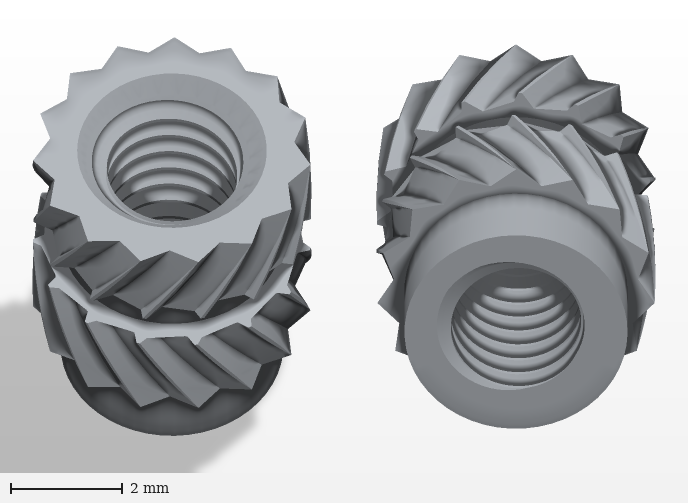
import cadquery as cq
import math

total_height = 6.0
body_radius = 2.0
knurl_radius = 2.5

lower_band_bottom = 1.5
lower_band_height = 1.96
upper_band_height = 1.75

tooth_count = 15
groove_root_radius = 2.2
groove_lead = 22.8
groove_rise = 1.93
groove_mouth_depth = 0.4

thread_pitch = 0.5
thread_minor_radius = 1.17
thread_major_radius = 1.5
thread_root_flat = 0.04
thread_half_angle = 30.0
thread_start_angle = 75.0
thread_overlap = 0.03

countersink_radius = 1.7
countersink_depth = countersink_radius - thread_minor_radius


def groove_profile():
    """V section on the XY plane, pointing at the axis, widened radially beyond the tooth tips."""
    half_pitch = math.pi / tooth_count
    tip_x = knurl_radius * math.cos(half_pitch)
    tip_y = knurl_radius * math.sin(half_pitch)
    mouth_x = tip_x + groove_mouth_depth
    mouth_y = mouth_x * math.tan(half_pitch)
    return cq.Workplane("XY").polyline([
        (groove_root_radius, 0),
        (tip_x, tip_y),
        (mouth_x, mouth_y),
        (mouth_x, -mouth_y),
        (tip_x, -tip_y),
    ]).close()


def knurled_band():
    """Ring on the XY plane with left-handed helical V grooves, full depth at z = 0.

    The groove section keeps a minimum-twist orientation along its path, so it rolls
    relative to the radius as it climbs and leaves narrow lands on the tooth tips.
    """
    path = cq.Wire.makeHelix(groove_lead, groove_rise, groove_root_radius, lefthand=True)
    groove = groove_profile().sweep(cq.Workplane(obj=path), isFrenet=False)
    band = cq.Workplane("XY").circle(knurl_radius).circle(body_radius).extrude(lower_band_height)
    tooth_pitch = 360 / tooth_count
    first_groove_angle = 90 + tooth_pitch / 2
    for i in range(tooth_count):
        angle = first_groove_angle + i * tooth_pitch
        band = band.cut(groove.rotate((0, 0, 0), (0, 0, 1), angle))
    return band


def thread_groove():
    """Right-handed V thread groove that runs out past both ends of the bore."""
    inner_radius = thread_minor_radius - thread_overlap
    flank_rise = (thread_major_radius - inner_radius) * math.tan(math.radians(thread_half_angle))
    root_half = thread_root_flat / 2
    mouth_half = root_half + flank_rise
    path = cq.Wire.makeHelix(thread_pitch, total_height + 2 * thread_pitch, thread_minor_radius)
    groove = (
        cq.Workplane("XZ")
        .polyline([
            (inner_radius, -mouth_half),
            (thread_major_radius, -root_half),
            (thread_major_radius, root_half),
            (inner_radius, mouth_half),
        ])
        .close()
        .sweep(cq.Workplane(obj=path), isFrenet=True)
    )
    return groove.rotate((0, 0, 0), (0, 0, 1), thread_start_angle).translate((0, 0, -thread_pitch))


def bore():
    """Through bore at the thread minor radius with its conical entry."""
    countersink_bottom = total_height - countersink_depth
    return (
        cq.Workplane("XZ")
        .polyline([
            (0, 0),
            (thread_minor_radius, 0),
            (thread_minor_radius, countersink_bottom),
            (countersink_radius, total_height),
            (0, total_height),
        ])
        .close()
        .revolve(360, (0, 0), (0, 1))
    )


core = cq.Workplane("XY").circle(body_radius).extrude(total_height)
threaded_core = core.cut(bore()).cut(thread_groove())

band = knurled_band()
short_band = band.intersect(cq.Workplane("XY").circle(knurl_radius).extrude(upper_band_height))
lower_band = band.translate((0, 0, lower_band_bottom))
upper_band = short_band.mirror("XY").translate((0, 0, total_height))

result = threaded_core.union(lower_band, glue=True).union(upper_band, glue=True)